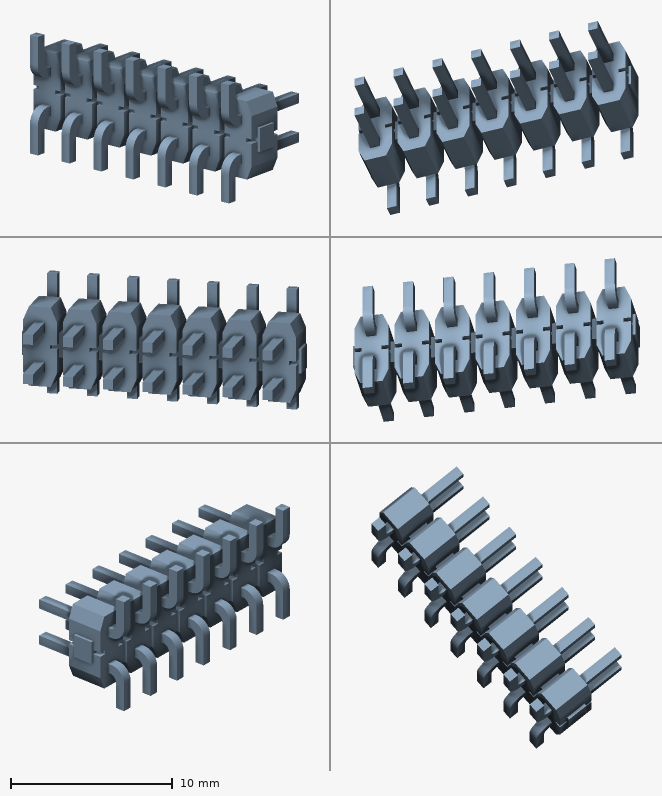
import cadquery as cq

pitch = 2.54
positions = 7
row_z = pitch / 2

cell_width = 2.159
cell_top_width = 1.397
cell_depth = 2.54
cell_height = 2 * pitch
taper_height = 0.889
bar_length = positions * pitch
bar_depth = 1.397
bar_height = 1.549

groove_depth = 0.4445
groove_height = 0.279

pin_size = 0.635
tail_length = 3.048
foot_reach = 1.27
overall_height = 7.7
bend_outer_radius = 1.016
bend_inner_radius = 0.508

front_y = -cell_depth / 2
pin_back_y = cell_depth / 2 + tail_length
pin_front_y = front_y - foot_reach
column_xs = [(i - (positions - 1) / 2) * pitch for i in range(positions)]


def make_cell(x):
    """One insulator cell: tapered top and bottom, grooved on both sides."""
    half_width = cell_width / 2
    half_top = cell_top_width / 2
    half_height = cell_height / 2
    shoulder_z = half_height - taper_height
    outline = [
        (half_top, half_height),
        (half_width, shoulder_z),
        (half_width, -shoulder_z),
        (half_top, -half_height),
        (-half_top, -half_height),
        (-half_width, -shoulder_z),
        (-half_width, shoulder_z),
        (-half_top, half_height),
    ]
    cell = cq.Workplane("XZ").polyline(outline).close().extrude(cell_depth / 2, both=True)
    for side in (-1, 1):
        groove = cq.Workplane("XY").box(2 * groove_depth, cell_depth, groove_height)
        cell = cell.cut(groove.translate((side * half_width, 0, 0)))
    return cell.translate((x, 0, 0))


def make_pin(x, side):
    """One bent pin; side is 1 for the upper row and -1 for the lower row."""
    inner_face_z = row_z - pin_size / 2
    outer_face_z = row_z + pin_size / 2
    foot_end_z = overall_height / 2
    foot_back_y = pin_front_y + pin_size
    outer_bend_y = pin_front_y + bend_outer_radius
    outer_bend_z = inner_face_z + bend_outer_radius
    inner_bend_y = foot_back_y + bend_inner_radius
    inner_bend_z = outer_face_z + bend_inner_radius
    pin = (
        cq.Workplane("YZ")
        .moveTo(pin_back_y, inner_face_z)
        .lineTo(outer_bend_y, inner_face_z)
        .radiusArc((pin_front_y, outer_bend_z), bend_outer_radius)
        .lineTo(pin_front_y, foot_end_z)
        .lineTo(foot_back_y, foot_end_z)
        .lineTo(foot_back_y, inner_bend_z)
        .radiusArc((inner_bend_y, outer_face_z), -bend_inner_radius)
        .lineTo(pin_back_y, outer_face_z)
        .close()
        .extrude(pin_size / 2, both=True)
    )
    if side < 0:
        pin = pin.mirror("XY")
    return pin.translate((x, 0, 0))


loose_pins = [make_pin(column_xs[-1], side) for side in (1, -1)]

housing = cq.Workplane("XY").box(bar_length, bar_depth, bar_height)
for x in column_xs:
    housing = housing.union(make_cell(x))
for x in column_xs[:-1]:
    for side in (1, -1):
        housing = housing.union(make_pin(x, side))
for pin in loose_pins:
    housing = housing.cut(pin)

result = cq.Compound.makeCompound([housing.val(), *[pin.val() for pin in loose_pins]])